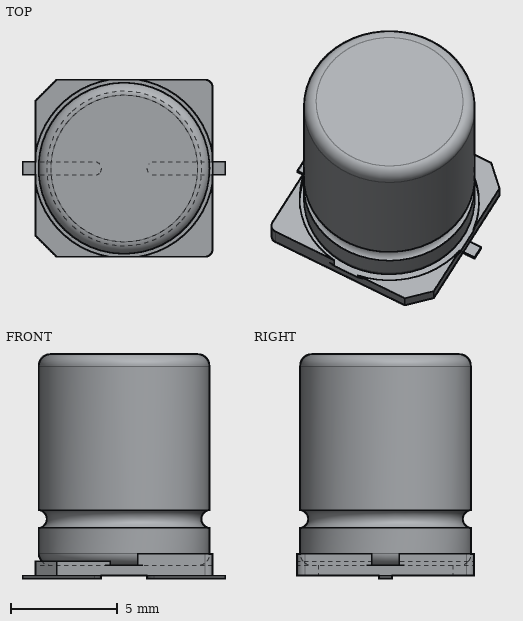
import cadquery as cq
import math

total_height = 10.51
lead_span = 9.5

base_width = 8.3
base_bottom = 0.14
low_top = 0.82
high_top = 1.16
corner_chamfer = 1.0
corner_radius = 0.37

seat_floor = 0.62
seat_side_opening = 1.28
seat_radius = math.hypot(base_width / 2, seat_side_opening / 2)

can_radius = 4.0
rim_radius = 0.57
groove_height = 2.79
groove_half_opening = 0.42
groove_depth = 0.38

lead_width = 0.63
lead_inner_end = 1.07


def make_base():
    """Plate with chamfered -X corners, rounded +X corners and an open-sided round seat."""
    base = (
        cq.Workplane("XY")
        .workplane(offset=base_bottom)
        .rect(base_width, base_width)
        .extrude(high_top - base_bottom)
        .edges("|Z and <X")
        .chamfer(corner_chamfer)
        .edges("|Z and >X")
        .fillet(corner_radius)
    )
    low_side = (
        cq.Workplane("XY")
        .workplane(offset=low_top)
        .center(-base_width / 2, 0)
        .rect(base_width, base_width)
        .extrude(high_top - low_top)
    )
    seat = (
        cq.Workplane("XY")
        .workplane(offset=seat_floor)
        .circle(seat_radius)
        .extrude(high_top - seat_floor)
    )
    return base.cut(low_side).cut(seat)


def make_can():
    """Revolved can with rounded rims at both ends and a crimp groove near the bottom."""
    flat_radius = can_radius - rim_radius
    arc_inset = rim_radius * (1 - math.sqrt(0.5))
    profile = (
        cq.Workplane("XZ")
        .moveTo(0, seat_floor)
        .lineTo(flat_radius, seat_floor)
        .threePointArc(
            (can_radius - arc_inset, seat_floor + arc_inset),
            (can_radius, seat_floor + rim_radius),
        )
        .lineTo(can_radius, groove_height - groove_half_opening)
        .threePointArc(
            (can_radius - groove_depth, groove_height),
            (can_radius, groove_height + groove_half_opening),
        )
        .lineTo(can_radius, total_height - rim_radius)
        .threePointArc(
            (can_radius - arc_inset, total_height - arc_inset),
            (flat_radius, total_height),
        )
        .lineTo(0, total_height)
        .close()
    )
    return profile.revolve(360, (0, 0, 0), (0, 1, 0))


def make_lead(side):
    """Flat strip with a round inner end, on the side (+1 or -1) of the X axis."""
    half_width = lead_width / 2
    round_start = side * (lead_inner_end + half_width)
    outer_end = side * lead_span / 2
    return (
        cq.Workplane("XY")
        .moveTo(outer_end, half_width)
        .lineTo(round_start, half_width)
        .threePointArc((side * lead_inner_end, 0), (round_start, -half_width))
        .lineTo(outer_end, -half_width)
        .close()
        .extrude(base_bottom)
    )


result = make_base().union(make_can())
for side in (-1, 1):
    result = result.union(make_lead(side))